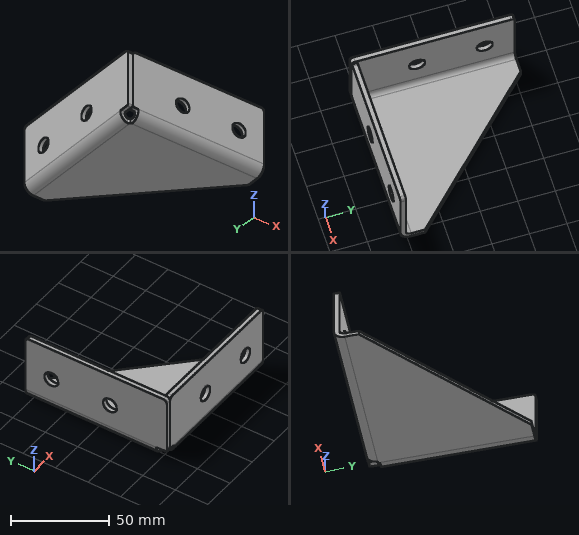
import cadquery as cq

length = 87.0
height = 40.0
thickness = 3.0
inner_bend_radius = 2.8
bend_radius = inner_bend_radius + thickness
wall_gap = 0.1
plate_end_width = 13.05

top_corner_radius = 2.0
lower_corner_radius = 1.0

relief_size = 6.7
relief_radius = relief_size - bend_radius

hole_diameter = 8.35
hole_height = 20.0
hole_end_distance = 16.0
hole_pitch = 36.0
hole_positions = [length - hole_end_distance - hole_pitch, length - hole_end_distance]


def make_floor():
    """Flat plate between the bend lines, with a diagonal free edge."""
    return (
        cq.Workplane("XY")
        .moveTo(bend_radius, bend_radius)
        .lineTo(length, bend_radius)
        .lineTo(length, plate_end_width)
        .lineTo(plate_end_width, length)
        .lineTo(bend_radius, length)
        .close()
        .extrude(thickness)
    )


def make_wall(start):
    """Upright wall in the YZ plane, running along Y from start to the far end."""
    span = length - start
    wall = cq.Workplane("XY").box(thickness, span, height - bend_radius, centered=False)
    wall = wall.translate((0, start, bend_radius))
    wall = wall.edges("|X and >Z").fillet(top_corner_radius)
    wall = wall.edges("|X and <Y and <Z").fillet(lower_corner_radius)
    holes = (
        cq.Workplane("YZ")
        .pushPoints([(y, hole_height) for y in hole_positions])
        .circle(hole_diameter / 2)
        .extrude(thickness)
    )
    return wall.cut(holes)


def make_relief():
    """Rounded end of the bend, cut square to both the wall and the floor."""
    def notch(plane):
        return (
            cq.Workplane(plane)
            .rect(2 * bend_radius, 2 * relief_size)
            .extrude(bend_radius)
            .edges("|Z" if plane == "XY" else "|X")
            .fillet(relief_radius)
        )

    beside_floor = notch("XY")
    below_wall = notch("ZY").mirror("YZ")
    return beside_floor.intersect(below_wall)


def make_bend():
    """Quarter-round bend along Y, joining the left wall to the floor."""
    center = (bend_radius, bend_radius)
    ring = (
        cq.Workplane("XZ")
        .center(*center)
        .circle(bend_radius)
        .circle(inner_bend_radius)
        .extrude(-length)
    )
    quarter = cq.Workplane("XY").box(bend_radius, length, bend_radius, centered=False)
    return ring.intersect(quarter).cut(make_relief())


def swap_legs(leg):
    """Mirror a leg across the plane X = Y."""
    return leg.mirror("YZ").rotate((0, 0, 0), (0, 0, 1), -90)


bend = make_bend()
left_leg = make_wall(0).union(bend)
front_leg = swap_legs(make_wall(thickness + wall_gap).union(bend))
result = make_floor().union(left_leg).union(front_leg)